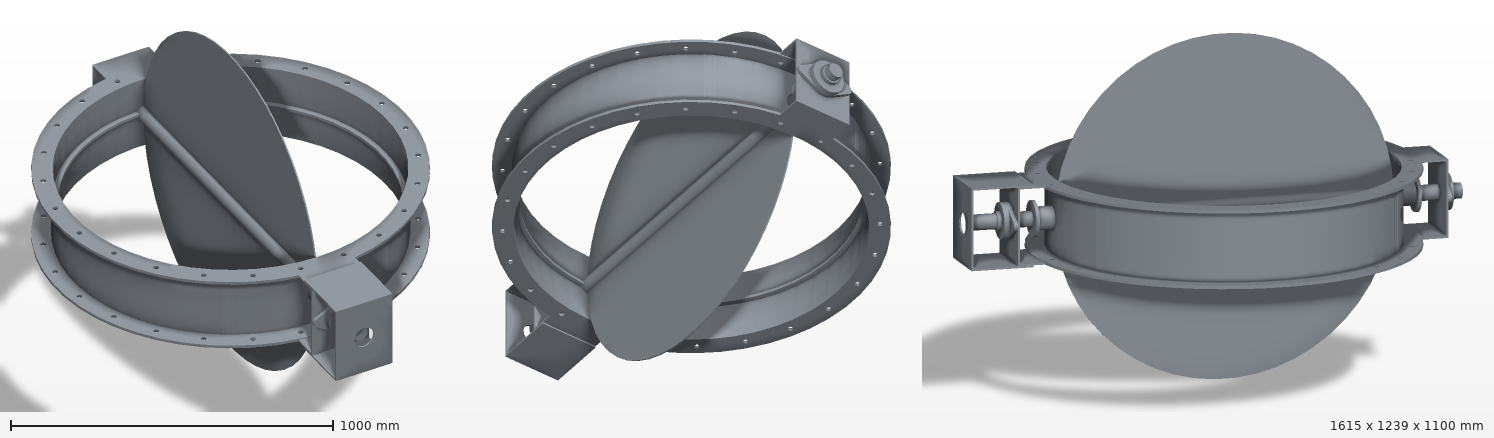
import cadquery as cq
import math


ring_height = 250.0
shell_inner_diameter = 1105.0
shell_thickness = 6.0
flange_diameter = 1239.0
flange_thickness = 10.0
bolt_circle_diameter = 1172.0
bolt_hole_diameter = 18.0
bolt_count = 24

strap_angle = 30
strap_width = 39.0
strap_rise = 1.0
seam_width = 11.0
seam_rise = 2.0
seam_end_gap = 6.0

blade_diameter = 1100.0
blade_thickness = 5.0
stop_inner_diameter = 1069.0
stop_thickness = 10.0
stop_end_gap = 26.0

shaft_diameter = 50.0
shaft_left_end = -767.0
shaft_right_end = 825.0
sleeve_diameter = 75.0
gland_diameter = 116.0
gland_inner_x = 614.0
gland_thickness = 11.0

sheet_thickness = 6.0
bracket_width = 202.0
bracket_outer_x = 698.0

bearing_flange_thickness = 13.0
bearing_tip_radius = 16.0
bearing_body_diameter = 116.0
bearing_body_length = 30.0
collar_diameter = 61.0
collar_length = 44.0

guard_inner_end_x = 648.0
guard_outer_x = 848.0
guard_hole_diameter = 70.0

shell_outer_diameter = shell_inner_diameter + 2 * shell_thickness
shell_inner_radius = shell_inner_diameter / 2
shell_outer_radius = shell_outer_diameter / 2
half_height = ring_height / 2
shell_height = ring_height - 2 * flange_thickness


def rod(diameter, start_x, end_x):
    """Solid cylinder along the shaft axis between two X positions."""
    return cq.Workplane("YZ").workplane(offset=start_x).circle(diameter / 2).extrude(end_x - start_x)


def tube_along_z(outer_diameter, inner_diameter, bottom_z, height):
    """Upright ring with the given bottom height."""
    profile = cq.Workplane("XY").workplane(offset=bottom_z).circle(outer_diameter / 2)
    return profile.circle(inner_diameter / 2).extrude(height)


def box_between(start_x, end_x, width, height):
    """Block centred on the shaft axis between two X positions."""
    block = cq.Workplane("XY").box(end_x - start_x, width, height)
    return block.translate(((start_x + end_x) / 2, 0, 0))


def mirrored(right_side):
    """The same feature on the -X side."""
    return right_side.mirror("YZ")


def channel(inner_end_x, outer_x, height):
    """U-shaped sheet channel with its web at the outer end."""
    outside = box_between(inner_end_x, outer_x, bracket_width, height)
    inside = box_between(inner_end_x, outer_x - sheet_thickness, bracket_width, height - 2 * sheet_thickness)
    return outside.cut(inside)


def duct_ring():
    ring = tube_along_z(shell_outer_diameter, shell_inner_diameter, -half_height, ring_height)
    for bottom_z in (-half_height, half_height - flange_thickness):
        ring = ring.union(tube_along_z(flange_diameter, shell_inner_diameter, bottom_z, flange_thickness))
    return ring


def bolt_holes():
    half_pitch = 180 / bolt_count
    centres = cq.Workplane("XY").workplane(offset=-half_height)
    centres = centres.polarArray(bolt_circle_diameter / 2, half_pitch, 360, bolt_count)
    return centres.circle(bolt_hole_diameter / 2).extrude(ring_height)


def shell_strap():
    """Strap with its seam, on the +X side of the shell before it is turned into place."""
    start_x = shell_inner_radius + shell_thickness / 2
    strap = box_between(start_x, shell_outer_radius + strap_rise, strap_width, shell_height)
    seam_height = shell_height - 2 * seam_end_gap
    return strap.union(box_between(start_x, shell_outer_radius + seam_rise, seam_width, seam_height))


def blade_stop():
    """Half ring on the -Y side, lying on the upper face of the closed blade."""
    full_ring = tube_along_z(shell_inner_diameter, stop_inner_diameter, blade_thickness / 2, stop_thickness)
    half_space = cq.Workplane("XY").box(shell_inner_diameter, shell_inner_diameter, ring_height)
    return full_ring.intersect(half_space.translate((0, -shell_inner_radius - stop_end_gap, 0)))


def blade():
    disc = cq.Workplane("XZ").circle(blade_diameter / 2)
    return disc.extrude(blade_thickness / 2, both=True)


def sleeve_and_gland():
    sleeve = rod(sleeve_diameter, shell_inner_radius, gland_inner_x)
    return sleeve.union(rod(gland_diameter, gland_inner_x, gland_inner_x + gland_thickness))


def bearing_flange():
    """Diamond plate: a large circle joined by tangents to two small tip circles."""
    body_radius = bearing_body_diameter / 2
    tip_y = bracket_width / 2 - bearing_tip_radius
    tangent_angle = math.asin((body_radius - bearing_tip_radius) / tip_y)
    across = math.sin(tangent_angle)
    along = math.cos(tangent_angle)
    body_y = body_radius * across
    body_z = body_radius * along
    tip_tangent_y = tip_y + bearing_tip_radius * across
    tip_tangent_z = bearing_tip_radius * along
    outline = (
        cq.Workplane("YZ")
        .workplane(offset=bracket_outer_x)
        .moveTo(-body_y, body_z)
        .threePointArc((0, body_radius), (body_y, body_z))
        .lineTo(tip_tangent_y, tip_tangent_z)
        .threePointArc((tip_y + bearing_tip_radius, 0), (tip_tangent_y, -tip_tangent_z))
        .lineTo(body_y, -body_z)
        .threePointArc((0, -body_radius), (-body_y, -body_z))
        .lineTo(-tip_tangent_y, -tip_tangent_z)
        .threePointArc((-tip_y - bearing_tip_radius, 0), (-tip_tangent_y, tip_tangent_z))
        .close()
    )
    return outline.extrude(bearing_flange_thickness)


def bearing():
    body = rod(bearing_body_diameter, bracket_outer_x, bracket_outer_x + bearing_body_length)
    collar = rod(collar_diameter, bracket_outer_x, bracket_outer_x + collar_length)
    return bearing_flange().union(body).union(collar)


def bracket():
    """Channel trimmed so that it only stands outside the shell."""
    duct_bore = cq.Workplane("XY").circle(shell_outer_radius).extrude(half_height, both=True)
    return channel(shell_inner_radius - sheet_thickness, bracket_outer_x, ring_height).cut(duct_bore)


def guard():
    cover = channel(guard_inner_end_x, guard_outer_x, ring_height + 2 * sheet_thickness)
    return cover.cut(rod(guard_hole_diameter, shaft_right_end, guard_outer_x))


result = duct_ring()
for angle in (strap_angle, 180 - strap_angle, 180 + strap_angle, -strap_angle):
    result = result.union(shell_strap().rotate((0, 0, 0), (0, 0, 1), angle))

front_stop = blade_stop()
back_stop = front_stop.rotate((0, 0, 0), (1, 0, 0), 180)
result = result.union(front_stop).union(back_stop)

for side_feature in (bracket(), sleeve_and_gland(), bearing()):
    result = result.union(side_feature).union(mirrored(side_feature))

result = result.cut(bolt_holes())
result = result.union(guard())
result = result.union(rod(shaft_diameter, shaft_left_end, shaft_right_end)).union(blade())